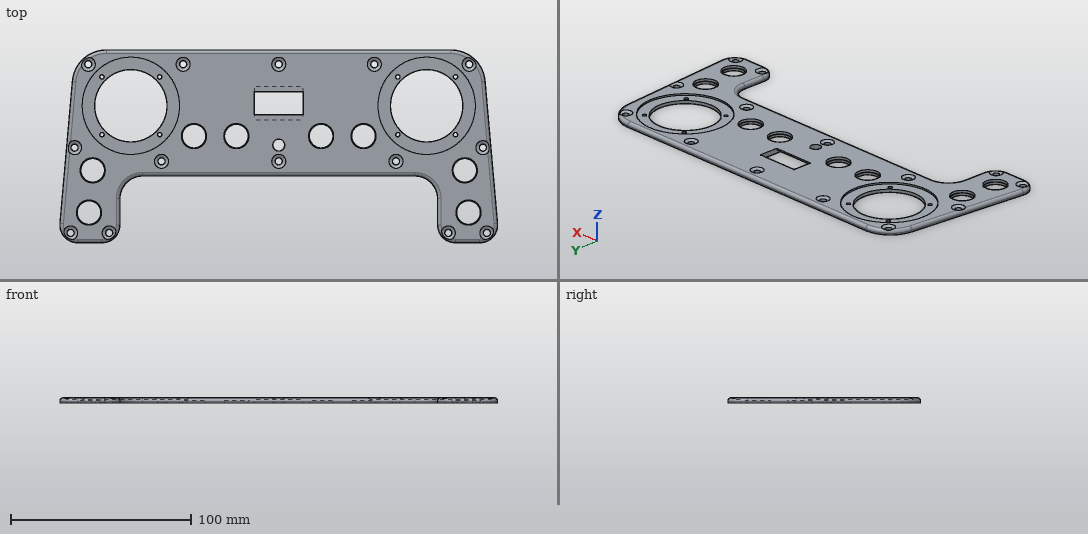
import cadquery as cq
import math

plate_width = 242.83
plate_depth = 107.0
plate_thickness = 3.0
side_tilt = math.radians(5.0)
back_corner_radius = 19.0
foot_corner_radius = 10.0
notch_half_width = 88.0
notch_front_to_back_edge = 70.0
notch_corner_radius = 12.5
top_edge_radius = 2.0

back_y = plate_depth / 2
front_y = -plate_depth / 2
notch_y = back_y - notch_front_to_back_edge

speaker_x = 82.0
speaker_y = back_y - 31.0
speaker_opening_diameter = 40.0
speaker_recess_diameter = 54.0
speaker_recess_depth = 1.0
speaker_screw_diameter = 2.3
speaker_screw_pitch = 32.0

button_diameter = 13.0
button_rim_diameter = 14.0
button_rim_depth = 1.5
button_pitch = 23.5
button_row_y = back_y - 47.8
foot_button_x = 105.2
foot_button_y = back_y - 90.2
foot_button_front = (foot_button_x, foot_button_y)
foot_button_back = (
    foot_button_x - button_pitch * math.sin(side_tilt),
    foot_button_y + button_pitch * math.cos(side_tilt),
)

window_width = 27.0
window_depth = 12.5
window_y = back_y - 29.6
window_lip_thickness = 1.0
window_relief_margin = 3.0
center_hole_diameter = 6.5
center_hole_y = back_y - 52.8

mount_diameter = 3.8
mount_head_diameter = 7.8
mount_head_depth = 1.0
mount_head_overhang = (mount_head_diameter - mount_diameter) / 2
mount_head_angle = 2 * math.degrees(math.atan(mount_head_overhang / mount_head_depth))
mount_back_y = back_y - 8.0
mount_notch_y = back_y - 61.8
mount_foot_y = back_y - 101.5
center_mounts = [(0, mount_back_y), (0, mount_notch_y)]
paired_mounts = [
    (53.0, mount_back_y),
    (105.6, mount_back_y),
    (113.2, back_y - 54.2),
    (65.0, mount_notch_y),
    (115.4, mount_foot_y),
    (94.0, mount_foot_y),
]


def mirrored(points):
    """Return the points together with their mirror images across X = 0."""
    return points + [(-x, y) for x, y in points]


def make_plate():
    arc_center_x = plate_width / 2 - foot_corner_radius
    arc_center_y = front_y + foot_corner_radius
    side_x_at_arc_center = arc_center_x + foot_corner_radius / math.cos(side_tilt)
    front_x = side_x_at_arc_center + (arc_center_y - front_y) * math.tan(side_tilt)
    back_x = front_x - plate_depth * math.tan(side_tilt)

    right_half = [
        (back_x, back_y),
        (front_x, front_y),
        (notch_half_width, front_y),
        (notch_half_width, notch_y),
    ]
    left_half = [(-x, y) for x, y in reversed(right_half)]
    plate = cq.Workplane("XY").polyline(right_half + left_half).close().extrude(plate_thickness)

    corner_radii = [back_corner_radius, foot_corner_radius, foot_corner_radius, notch_corner_radius]
    for (x, y), radius in zip(right_half, corner_radii):
        for corner_x in (x, -x):
            corner = cq.selectors.NearestToPointSelector((corner_x, y, plate_thickness / 2))
            plate = plate.edges("|Z").edges(corner).fillet(radius)
    return plate.faces(">Z").edges().fillet(top_edge_radius)


def top_plane(plate):
    """Return a workplane on the top face, centered on the axes."""
    return plate.faces(">Z").workplane(origin=(0, 0, plate_thickness))


def cut_speaker_seat(plate, x):
    seat = top_plane(plate).pushPoints([(x, speaker_y)])
    plate = seat.cboreHole(speaker_opening_diameter, speaker_recess_diameter, speaker_recess_depth)
    screws = top_plane(plate).center(x, speaker_y)
    screws = screws.rect(speaker_screw_pitch, speaker_screw_pitch, forConstruction=True).vertices()
    return screws.hole(speaker_screw_diameter)


def cut_buttons(plate):
    row = [(button_pitch, button_row_y), (2 * button_pitch, button_row_y)]
    centers = mirrored(row + [foot_button_front, foot_button_back])
    holes = top_plane(plate).pushPoints(centers)
    return holes.cboreHole(button_diameter, button_rim_diameter, button_rim_depth)


def cut_window_and_center_hole(plate):
    plate = top_plane(plate).center(0, window_y).rect(window_width, window_depth).cutThruAll()
    relief_depth = window_depth + 2 * window_relief_margin
    relief = cq.Workplane("XY").center(0, window_y).rect(window_width, relief_depth)
    plate = plate.cut(relief.extrude(plate_thickness - window_lip_thickness))
    return top_plane(plate).pushPoints([(0, center_hole_y)]).hole(center_hole_diameter)


def cut_mounts(plate):
    holes = top_plane(plate).pushPoints(center_mounts + mirrored(paired_mounts))
    return holes.cskHole(mount_diameter, mount_head_diameter, mount_head_angle)


result = make_plate()
for side in (-1, 1):
    result = cut_speaker_seat(result, side * speaker_x)
result = cut_buttons(result)
result = cut_window_and_center_hole(result)
result = cut_mounts(result)